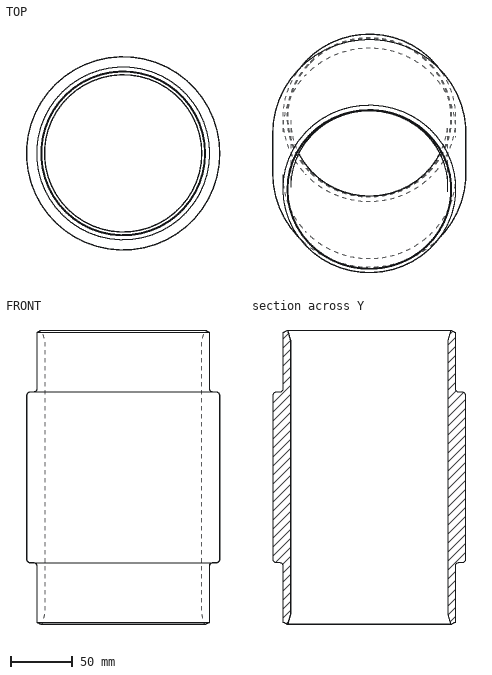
import cadquery as cq

total_length = 238.0
sleeve_length = 138.5
sleeve_radius = 78.3
neck_radius = 70.0
bore_radius = 63.5

shoulder_round = 3.3
neck_fillet = 2.4
rim_chamfer_width = 3.3
rim_chamfer_height = 1.7
mouth_radius = 66.0
mouth_depth = 8.3


def make_sleeve():
    """Thick middle section with rounded shoulders."""
    sleeve = cq.Workplane("XY").cylinder(sleeve_length, sleeve_radius)
    return sleeve.edges("%CIRCLE").fillet(shoulder_round)


def make_neck_tube():
    """Thinner full-length cylinder with a chamfer around each outer rim."""
    half_length = total_length / 2
    chamfer_start = half_length - rim_chamfer_height
    rim_radius = neck_radius - rim_chamfer_width
    return (
        cq.Workplane("XZ")
        .moveTo(0, -half_length)
        .lineTo(rim_radius, -half_length)
        .lineTo(neck_radius, -chamfer_start)
        .lineTo(neck_radius, chamfer_start)
        .lineTo(rim_radius, half_length)
        .lineTo(0, half_length)
        .close()
        .revolve(360, (0, 0), (0, 1))
    )


def add_neck_fillets(body):
    """Concave fillets where the necks meet the sleeve shoulders."""
    half_sleeve = sleeve_length / 2
    reach = neck_radius + neck_fillet
    near_shoulders = cq.selectors.BoxSelector(
        (-reach, -reach, -half_sleeve - neck_fillet / 2),
        (reach, reach, half_sleeve + neck_fillet / 2),
        boundingbox=True,
    )
    return body.edges("%CIRCLE").edges(near_shoulders).fillet(neck_fillet)


def make_bore():
    """Through bore that flares out to a wider mouth at each end."""
    half_length = total_length / 2
    taper_start = half_length - mouth_depth
    return (
        cq.Workplane("XZ")
        .moveTo(0, -half_length)
        .lineTo(mouth_radius, -half_length)
        .lineTo(bore_radius, -taper_start)
        .lineTo(bore_radius, taper_start)
        .lineTo(mouth_radius, half_length)
        .lineTo(0, half_length)
        .close()
        .revolve(360, (0, 0), (0, 1))
    )


body = add_neck_fillets(make_sleeve().union(make_neck_tube()))
result = body.cut(make_bore())